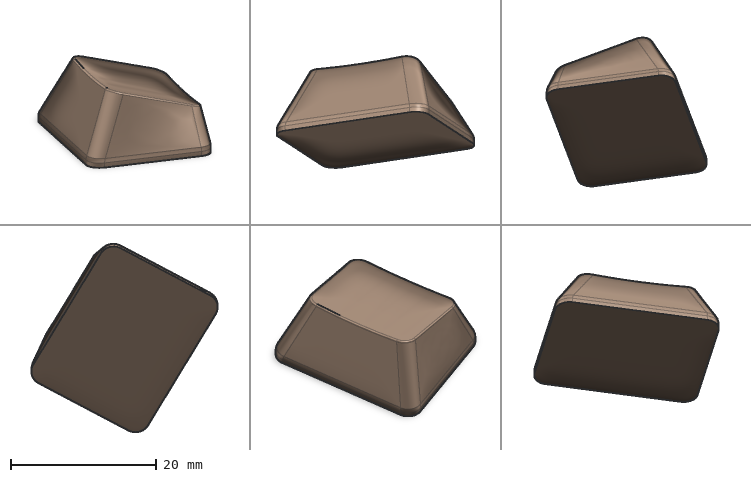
import cadquery as cq
import math

WIDTH = 22.92
DEPTH = 18.15
SKIRT_HEIGHT = 0.73
BASE_CORNER = 2.0

SHOULDER_HEIGHT = 0.6
SIDE_INSET = 0.11
FRONT_INSET = 0.14
BACK_INSET = 0.02

TOP_WIDTH = 16.5
TOP_LOW_Y = 8.65
TOP_LOW_Z = 5.98
TOP_HIGH_Y = -5.02
TOP_HIGH_Z = 9.9
TOP_CORNER = 1.93
TOP_ROUND = 0.28

DISH_SAG = 0.37

top_run = TOP_LOW_Y - TOP_HIGH_Y
top_drop = TOP_HIGH_Z - TOP_LOW_Z
top_depth = math.hypot(top_run, top_drop)
slope = math.atan2(top_drop, top_run)
top_plane = cq.Plane(
    origin=(0, (TOP_LOW_Y + TOP_HIGH_Y) / 2, (TOP_LOW_Z + TOP_HIGH_Z) / 2),
    xDir=(1, 0, 0),
    normal=(0, math.sin(slope), math.cos(slope)),
)


def rounded_rectangle(width, depth, radius):
    return cq.Sketch().rect(width, depth).vertices().fillet(radius)


def shoulder_section(rise):
    """Outline at a fraction of the shoulder height; the inset grows with the square of the rise."""
    inset = rise**2
    outline = rounded_rectangle(
        WIDTH - 2 * SIDE_INSET * inset,
        DEPTH - (FRONT_INSET + BACK_INSET) * inset,
        BASE_CORNER,
    )
    shift = (FRONT_INSET - BACK_INSET) / 2 * inset
    height = SKIRT_HEIGHT + SHOULDER_HEIGHT * rise
    return outline.moved(cq.Location(cq.Vector(0, shift, height)))


def make_skirt():
    return cq.Workplane("XY").placeSketch(rounded_rectangle(WIDTH, DEPTH, BASE_CORNER)).extrude(SKIRT_HEIGHT)


def make_shoulder():
    sections = [shoulder_section(rise) for rise in (0, 0.5, 1)]
    return cq.Workplane("XY").placeSketch(*sections).loft()


def make_tapered_walls():
    top = rounded_rectangle(TOP_WIDTH, top_depth, TOP_CORNER).moved(cq.Location(top_plane))
    return cq.Workplane("XY").placeSketch(shoulder_section(1), top).loft(ruled=True)


def make_dish():
    """Cylinder whose surface passes through the long top edges and dips by the sag at the middle."""
    radius = ((TOP_WIDTH / 2) ** 2 + DISH_SAG**2) / (2 * DISH_SAG)
    axis_plane = cq.Plane(top_plane.origin, xDir=(1, 0, 0), normal=top_plane.yDir)
    return cq.Workplane(axis_plane).center(0, DISH_SAG - radius).circle(radius).extrude(top_depth, both=True)


body = make_skirt().union(make_shoulder()).union(make_tapered_walls())
dished = body.cut(make_dish())
top_face = cq.selectors.NearestToPointSelector(top_plane.origin.toTuple())
result = dished.faces(top_face).edges().fillet(TOP_ROUND)